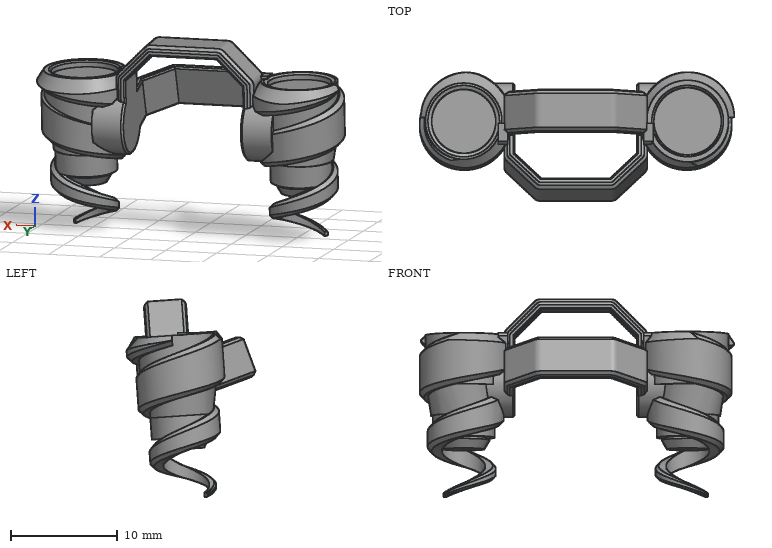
import cadquery as cq
import math

pivot_y = 1.96
pivot_z = 1.285

handle_reach = 7.94
handle_half_span = 6.74
handle_corner_cut = 3.1
strip_thickness = 1.0
strip_width = 4.0
outer_edge_chamfer = 0.4
inner_edge_chamfer = 0.15
corner_radius = 0.85
inner_half_span = handle_half_span - strip_thickness
inner_reach = handle_reach - strip_thickness
selection_margin = 0.05
rear_handle_swing = 4.0
front_handle_swing = -69.6

ear_radius = 3.1
ear_end_chamfer = 0.2
ear_outer_x = 8.8

block_length = 0.9
block_width = 2.0
block_height = 2.2
block_chamfer = 0.3
block_x = 6.85
block_y = 0.3
block_top_z = 6.15

drum_x = 10.53
drum_y = 1.49
drum_top_z = 5.91
drum_tilt = 4.0

head_depth = 4.8
neck_end_depth = 7.6
stem_end_depth = 9.65
tip_start_depth = 9.9
tip_end_depth = 10.75
neck_top_radius = 3.15
neck_end_offset = (-0.1, -0.05)
neck_end_radius = 2.98
neck_top_offset = (-0.35, -0.35)
stem_radius = 2.92
tip_joint_radius = 2.0
tip_start_radius = 2.45
tip_end_radius = 1.95
recess_depth = 0.62
lip_radius = 3.37
lip_depth = 0.15

band_turns = 3.0
band_start_angle = 225.0
band_pitch = 5.05
band_start_depth = 0.23
band_start_radius = 5.0
band_radius_loss_per_turn = 0.75
band_tip_height = 0.4
band_height_per_turn = 2.05
band_thickness_gain = 1.1
band_tip_thickness = 0.4
band_thickness_power = 6
band_chamfer_share = 0.29
lead_in_turns = 0.25
points_per_turn = 12
envelope_margin = 1.0


def band_section(turn, first_turn, lead_in):
    """Radius and height of the six band corners; the lead-in narrows only the first stretch."""
    radius = band_start_radius - band_radius_loss_per_turn * turn
    radius -= lead_in * max(0, 1 - (turn - first_turn) / lead_in_turns)
    bottom = -(band_start_depth + band_pitch * turn)
    top = bottom + band_tip_height + band_height_per_turn * (band_turns - turn)
    taper = 1 - (turn / band_turns) ** band_thickness_power
    thickness = band_tip_thickness + band_thickness_gain * taper
    chamfer = band_chamfer_share * thickness
    return [
        (radius - thickness, bottom),
        (radius - chamfer, bottom),
        (radius, bottom + chamfer),
        (radius, top - chamfer),
        (radius - chamfer, top),
        (radius - thickness, top),
    ]


def band_corners(turn, first_turn, lead_in):
    """The six band corners as points around the drum axis."""
    angle = math.radians(band_start_angle - 360 * turn)
    return [
        cq.Vector(r * math.cos(angle), r * math.sin(angle), z)
        for r, z in band_section(turn, first_turn, lead_in)
    ]


def helical_band(first_turn, lead_in):
    """Solid skinned over one spline per band corner, closed by a flat face at each end."""
    turns = band_turns - first_turn
    steps = round(turns * points_per_turn)
    sections = [
        band_corners(first_turn + turns * i / steps, first_turn, lead_in)
        for i in range(steps + 1)
    ]
    edges = [cq.Edge.makeSpline(list(track)) for track in zip(*sections)]
    faces = [
        cq.Face.makeRuledSurface(edge, edges[i - 1]) for i, edge in enumerate(edges)
    ]
    for section in (sections[0], sections[-1]):
        faces.append(cq.Face.makeFromWires(cq.Wire.makePolygon(section, close=True)))
    shell = cq.Shell.makeShell(faces)
    return cq.Workplane(cq.Solid.makeSolid(shell))


def band_envelope(rim_radius, rim_height, cone_run, cone_drop):
    """Round body whose cone below the rim trims the start of the band."""
    floor = -(band_start_depth + band_pitch * band_turns + envelope_margin)
    return (
        cq.Workplane("XZ")
        .moveTo(0, floor)
        .lineTo(rim_radius + cone_run, floor)
        .lineTo(rim_radius + cone_run, rim_height - cone_drop)
        .lineTo(rim_radius, rim_height)
        .lineTo(0, rim_height)
        .close()
        .revolve(360, (0, 0), (0, 1))
    )


def drum_core(rim_radius, rim_height):
    """Round head, leaning neck and stepped stem, with the axis on Z."""
    head = (
        cq.Workplane("XY")
        .workplane(offset=-head_depth)
        .circle(rim_radius)
        .extrude(head_depth + rim_height)
    )
    neck = (
        cq.Workplane("XY")
        .workplane(offset=-neck_end_depth)
        .moveTo(*neck_end_offset)
        .circle(neck_end_radius)
        .workplane(offset=neck_end_depth - head_depth)
        .moveTo(*neck_top_offset)
        .circle(neck_top_radius)
        .loft()
    )
    stem = (
        cq.Workplane("XZ")
        .moveTo(0, -neck_end_depth)
        .lineTo(stem_radius, -neck_end_depth)
        .lineTo(stem_radius, -stem_end_depth)
        .lineTo(tip_joint_radius, -stem_end_depth)
        .lineTo(tip_start_radius, -tip_start_depth)
        .lineTo(tip_end_radius, -tip_end_depth)
        .lineTo(0, -tip_end_depth)
        .close()
        .revolve(360, (0, 0), (0, 1))
    )
    return head.union(neck).union(stem)


def top_recess(rim_height, recess_radius):
    """Shallow round recess with a bevelled lip, to be cut from the drum top."""
    return (
        cq.Workplane("XZ")
        .moveTo(0, rim_height)
        .lineTo(lip_radius, rim_height)
        .lineTo(recess_radius, rim_height - lip_depth)
        .lineTo(recess_radius, rim_height - recess_depth)
        .lineTo(0, rim_height - recess_depth)
        .close()
        .revolve(360, (0, 0), (0, 1))
    )


def drum(rim_radius, rim_height, recess_diameter, cone_run, cone_drop, first_turn, lead_in):
    """Drum in its place on the -X side."""
    envelope = band_envelope(rim_radius, rim_height, cone_run, cone_drop)
    band = helical_band(first_turn, lead_in).intersect(envelope)
    body = drum_core(rim_radius, rim_height).union(band)
    body = body.cut(top_recess(rim_height, recess_diameter / 2))
    return body.rotate((0, 0, 0), (1, 0, 0), -drum_tilt).translate(
        (-drum_x, drum_y, drum_top_z)
    )


def half_octagon(inset):
    """Solid bounded by the ring outline moved inwards by an inset, above the pivot line."""
    half_span = handle_half_span - inset
    reach = handle_reach - inset
    cut = handle_corner_cut - inset * (2 - math.sqrt(2))
    return (
        cq.Workplane("XZ")
        .moveTo(-half_span, 0)
        .lineTo(-half_span, reach - cut)
        .lineTo(-half_span + cut, reach)
        .lineTo(half_span - cut, reach)
        .lineTo(half_span, reach - cut)
        .lineTo(half_span, 0)
        .close()
        .extrude(strip_width / 2, both=True)
    )


def swung(body, swing):
    """Turn a body about the X axis by a swing towards the rear and put it on the pivot line."""
    return body.rotate((0, 0, 0), (1, 0, 0), -swing).translate((0, pivot_y, pivot_z))


def handle(swing):
    """Half-octagon strip with rounded corners and bevelled edges, swung into place."""
    strip = half_octagon(0).edges("|Y and (not <Z)").fillet(corner_radius)
    strip = strip.faces("<Y or >Y").edges("not <Z").chamfer(outer_edge_chamfer)
    strip = strip.cut(half_octagon(strip_thickness))
    inner_edges = cq.selectors.BoxSelector(
        (-inner_half_span - selection_margin, -strip_width, selection_margin),
        (inner_half_span + selection_margin, strip_width, inner_reach + selection_margin),
    )
    strip = strip.faces("<Y or >Y").edges(inner_edges).chamfer(inner_edge_chamfer)
    return swung(strip, swing)


def ear():
    """Round joint disc with its small block, on the +X side."""
    disc = (
        cq.Workplane("YZ")
        .workplane(offset=inner_half_span)
        .circle(ear_radius)
        .extrude(ear_outer_x - inner_half_span)
        .faces("<X")
        .chamfer(ear_end_chamfer)
        .translate((0, pivot_y, pivot_z))
    )
    block = (
        cq.Workplane("XY")
        .box(block_length, block_width, block_height)
        .faces(">Z")
        .edges("<Y")
        .chamfer(block_chamfer)
        .translate((block_x, block_y, block_top_z - block_height / 2))
    )
    return disc.union(block)


left_drum = drum(
    rim_radius=3.6,
    rim_height=0.0,
    recess_diameter=6.03,
    cone_run=1.3,
    cone_drop=1.3,
    first_turn=0.14,
    lead_in=0.85,
)
right_drum = drum(
    rim_radius=3.85,
    rim_height=0.1,
    recess_diameter=6.35,
    cone_run=1.0,
    cone_drop=1.5,
    first_turn=0.14,
    lead_in=0.2,
).mirror("YZ")
right_ear = ear()
result = (
    handle(rear_handle_swing)
    .union(handle(front_handle_swing))
    .union(right_ear)
    .union(right_ear.mirror("YZ"))
    .union(left_drum)
    .union(right_drum)
)